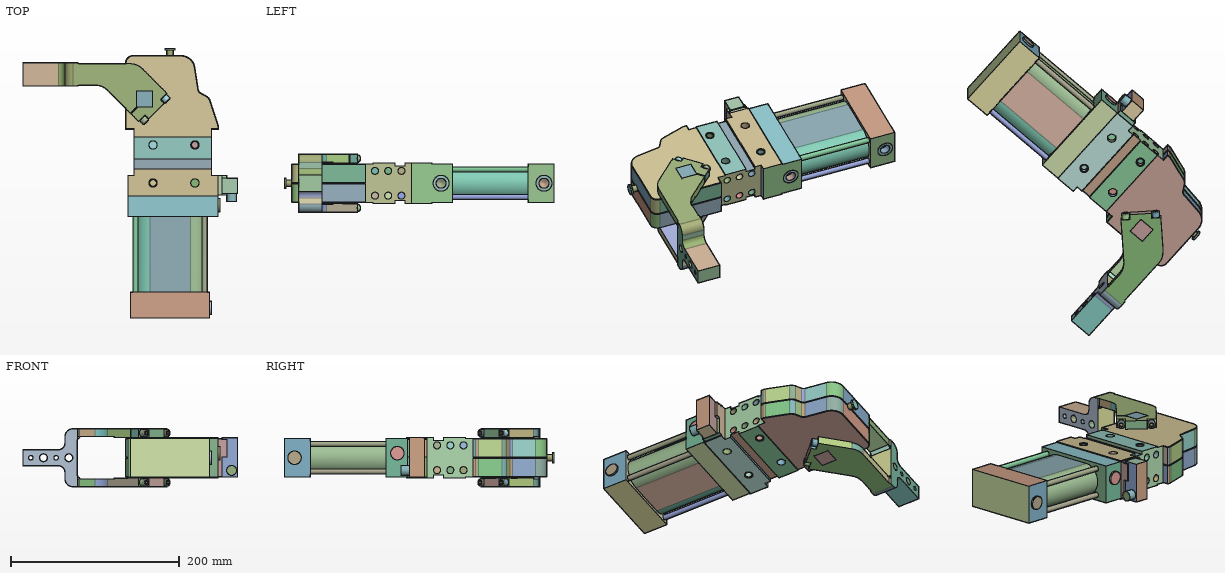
import cadquery as cq
import math


END_CAP_WIDTH = 94.0
CYLINDER_HEIGHT = 46.0
END_CAP_FRONT = 31.0
TUBE_FLAT_HALF = 24.0
TUBE_RADIUS = 19.0
TIE_ROD_DIAMETER = 6.5
TIE_ROD_X = 41.0
TIE_ROD_Z = 16.3

FLANGE_LEFT = -50.0
FLANGE_RIGHT = 57.0
FLANGE_REAR = 120.3
BLOCK_REAR = 145.0
FLANGE_FRONT = 169.3
NECK_LEFT = -43.0
NECK_RIGHT = 49.3
BLOCK_FRONT = 215.0
BLOCK_HEIGHT = 48.3
GROOVE_REAR = 177.0
GROOVE_FRONT = 188.5
GROOVE_FLOOR = 20.5

TOP_HOLE_DIAMETER = 10.0
TOP_HOLE_X = (-20.0, 29.5)
TOP_HOLE_Y = (160.3, 205.5)
DOWEL_DIAMETER = 8.0
SIDE_HOLE_DIAMETER = 8.3
SIDE_HOLE_PITCH = 15.7
SIDE_HOLE_MIDDLE_Y = 196.8
SIDE_HOLE_Z = 14.7
MOUNTING_HOLE_DEPTH = 9.5
DOWEL_MOUTH_DEPTH = 1.0

PORT_DIAMETER = 11.8
PORT_DEPTH = 9.5
DRILL_POINT_ANGLE = 118
SPOTFACE_DIAMETER = 19.0
SPOTFACE_DEPTH = 0.3
FLANGE_PORT_Y = 134.0
END_CAP_PORT_Y = 12.0
PLUG_DIAMETER = 16.0
PLUG_HEIGHT = 2.2
FLANGE_PLUG_Z = 5.5

HEAD_HEIGHT = 46.0
HEAD_LEFT = -52.8
HEAD_RIGHT = 57.3
HEAD_REAR = 224.0
HEAD_FRONT = 311.5
HEAD_TOP_RIGHT = (27.2, HEAD_FRONT)
HEAD_WAIST = (34.0, 268.5)
HEAD_SHOULDER = (46.5, 261.5)
HEAD_HIP = (HEAD_RIGHT, 228.5)
HEAD_LEFT_RADIUS = 8.5
HEAD_TOP_RADIUS = 16.3
HEAD_WAIST_RADIUS = 4.8
HEAD_SHOULDER_RADIUS = 9.5
HEAD_HIP_RADIUS = 9.5
HEAD_EDGE_CHAMFER = 0.5

BUTTON_TIP = 320.0
BUTTON_DIAMETER = 12.0
BUTTON_THICKNESS = 2.2
BUTTON_STEM_DIAMETER = 8.0
BUTTON_STEM_ROOT = 3.2

SENSOR_REAR = 146.0
SENSOR_PLATE_RIGHT = 61.8
SENSOR_PLATE_HEIGHT = 45.5
SENSOR_STEP_RIGHT = 67.2
SENSOR_STEP_Z = (0.5, 21.8)
PLUG_BLOCK_RIGHT = 80.0
PLUG_BLOCK_Y = (148.0, 166.0)
PLUG_BLOCK_Z = (-23.0, 24.0)
CABLE_DIAMETER = 11.8
CABLE_X = 73.0
CABLE_Z = -15.0
CABLE_END = 138.2

SHAFT_X = -30.5
SHAFT_Y = 259.8
SHAFT_SIDE = 19.2
ARM_HEIGHT = 69.0
ARM_LEFT = -174.5
PRONG_GAP = 50.0
PAD_GAP = 48.0
PAD_START = -27.2
YOKE_FRONT = 303.0
YOKE_REAR = 275.2
YOKE_LEFT = -124.8
YOKE_RIGHT = -109.8
YOKE_BEVEL = 2.0
YOKE_CORNER_RADIUS = 10.0
YOKE_CHAMFER = 3.5
TONGUE_HEIGHT = 19.2
TONGUE_RADIUS = 7.7
PRONG_FRONT = 301.8
PRONG_REAR = 276.0
PRONG_HALF_WIDTH = 23.7
PRONG_END = 20.0
PRONG_BEND_RADIUS = 20.8
CUTTER_REACH = 48.0
SLIT_WIDTH = 1.3
TONGUE_HOLE_PITCH = 15.0
TONGUE_FIRST_HOLE_X = -165.0
TONGUE_HOLE_DIAMETERS = (5.0, 9.0, 5.0, 9.0)

SCREW_DIAMETER = 9.0
SCREW_OFFSET = 18.0
SCREW_SEAT = 14.0
SCREW_NOTCH_START = 12.8
SCREW_END = 21.0
SCREW_EDGE_FILLET = 1.0
SCREW_SOCKET = 5.0
SCREW_SOCKET_DEPTH = 3.2


def box(x_range, y_range, z_range):
    """Box between the given limits."""
    size = [high - low for low, high in (x_range, y_range, z_range)]
    corner = (x_range[0], y_range[0], z_range[0])
    return cq.Workplane(cq.Solid.makeBox(*size, cq.Vector(*corner)))


def level_box(x_range, y_range, height):
    """Box centred on z = 0."""
    return box(x_range, y_range, (-height / 2, height / 2))


def rod(start, direction, diameter, length):
    """Cylinder that runs from a point along a direction."""
    return cq.Workplane(
        cq.Solid.makeCylinder(diameter / 2, length, cq.Vector(*start), cq.Vector(*direction))
    )


def make_cylinder():
    """End cap, tube with rounded sides and four tie rods."""
    length = FLANGE_REAR - END_CAP_FRONT
    body = level_box((-END_CAP_WIDTH / 2, END_CAP_WIDTH / 2), (0, END_CAP_FRONT), CYLINDER_HEIGHT)
    tube = level_box((-TUBE_FLAT_HALF, TUBE_FLAT_HALF), (END_CAP_FRONT, FLANGE_REAR), 2 * TUBE_RADIUS)
    for side in (-1, 1):
        start = (side * TUBE_FLAT_HALF, END_CAP_FRONT, 0)
        tube = tube.union(rod(start, (0, 1, 0), 2 * TUBE_RADIUS, length))
    body = body.union(tube.clean())
    for x in (-TIE_ROD_X, TIE_ROD_X):
        for z in (-TIE_ROD_Z, TIE_ROD_Z):
            body = body.union(rod((x, END_CAP_FRONT, z), (0, 1, 0), TIE_ROD_DIAMETER, length))
    return body


def make_mounting_block():
    """Cylinder flange and mounting block with a cross groove in its top and bottom."""
    flange = level_box((FLANGE_LEFT, FLANGE_RIGHT), (FLANGE_REAR, BLOCK_REAR), CYLINDER_HEIGHT)
    foot = level_box((FLANGE_LEFT, FLANGE_RIGHT), (BLOCK_REAR, FLANGE_FRONT), BLOCK_HEIGHT)
    neck = level_box((NECK_LEFT, NECK_RIGHT), (FLANGE_FRONT, BLOCK_FRONT), BLOCK_HEIGHT)
    block = flange.union(foot).union(neck)
    for z_range in ((GROOVE_FLOOR, BLOCK_HEIGHT), (-BLOCK_HEIGHT, -GROOVE_FLOOR)):
        block = block.cut(box((NECK_LEFT, NECK_RIGHT), (GROOVE_REAR, GROOVE_FRONT), z_range))
    return block


def mounting_hole(mouth, direction, diameter, bore_diameter):
    """Blind hole whose short mouth is wider than its bore when the diameters differ."""
    return rod(mouth, direction, diameter, DOWEL_MOUTH_DEPTH).union(
        rod(mouth, direction, bore_diameter, MOUNTING_HOLE_DEPTH)
    )


def cut_mounting_holes(body):
    """Four holes in the top and bottom faces and six in each side; some are dowel holes."""
    for side in (-1, 1):
        for column, x in enumerate(TOP_HOLE_X):
            for row, y in enumerate(TOP_HOLE_Y):
                bore = DOWEL_DIAMETER if column == row else TOP_HOLE_DIAMETER
                mouth = (x, y, side * BLOCK_HEIGHT / 2)
                body = body.cut(mounting_hole(mouth, (0, 0, -side), TOP_HOLE_DIAMETER, bore))
    for x, inward in ((NECK_LEFT, 1), (NECK_RIGHT, -1)):
        for step in (-1, 0, 1):
            for z in (-SIDE_HOLE_Z, SIDE_HOLE_Z):
                mouth = (x, SIDE_HOLE_MIDDLE_Y + step * SIDE_HOLE_PITCH, z)
                direction = (inward, 0, 0)
                body = body.cut(rod(mouth, direction, SIDE_HOLE_DIAMETER, MOUNTING_HOLE_DEPTH))
    return body


def port(x, y):
    """Spotfaced port, drilled toward +X with a conical bottom."""
    radius = PORT_DIAMETER / 2
    point_depth = radius / math.tan(math.radians(DRILL_POINT_ANGLE / 2))
    tip = cq.Solid.makeCone(
        radius, 0, point_depth, cq.Vector(x + PORT_DEPTH, y, 0), cq.Vector(1, 0, 0)
    )
    spotface = rod((x, y, 0), (1, 0, 0), SPOTFACE_DIAMETER, SPOTFACE_DEPTH)
    return spotface.union(rod((x, y, 0), (1, 0, 0), PORT_DIAMETER, PORT_DEPTH)).union(cq.Workplane(tip))


def add_ports_and_plugs(body):
    """A port on the left and a plug on the right of both the flange and the end cap."""
    body = body.cut(port(FLANGE_LEFT, FLANGE_PORT_Y)).cut(port(-END_CAP_WIDTH / 2, END_CAP_PORT_Y))
    flange_plug = (FLANGE_RIGHT, FLANGE_PORT_Y, FLANGE_PLUG_Z)
    end_cap_plug = (END_CAP_WIDTH / 2, END_CAP_PORT_Y, 0)
    for start in (flange_plug, end_cap_plug):
        body = body.union(rod(start, (1, 0, 0), PLUG_DIAMETER, PLUG_HEIGHT))
    return body


def make_head():
    """Clamp head of two chamfered halves that meet in a fine groove, on a plain neck."""
    outline = [
        (HEAD_LEFT, HEAD_REAR),
        (HEAD_LEFT, HEAD_FRONT),
        HEAD_TOP_RIGHT,
        HEAD_WAIST,
        HEAD_SHOULDER,
        HEAD_HIP,
        (HEAD_RIGHT, HEAD_REAR),
    ]
    rounded_corners = (
        ((HEAD_LEFT, HEAD_FRONT), HEAD_LEFT_RADIUS),
        (HEAD_TOP_RIGHT, HEAD_TOP_RADIUS),
        (HEAD_WAIST, HEAD_WAIST_RADIUS),
        (HEAD_SHOULDER, HEAD_SHOULDER_RADIUS),
        (HEAD_HIP, HEAD_HIP_RADIUS),
    )
    half = cq.Workplane("XY").polyline(outline).close().extrude(HEAD_HEIGHT / 2)
    for corner, radius in rounded_corners:
        middle = (*corner, HEAD_HEIGHT / 4)
        half = half.edges(cq.selectors.NearestToPointSelector(middle)).fillet(radius)
    half = half.faces("|Z").edges().chamfer(HEAD_EDGE_CHAMFER)
    neck = level_box((NECK_LEFT, NECK_RIGHT), (BLOCK_FRONT, HEAD_REAR + HEAD_EDGE_CHAMFER), HEAD_HEIGHT)
    return half.union(half.mirror("XY")).union(neck)


def make_button():
    """Release button on its stem, on the cylinder axis."""
    stem_start = HEAD_FRONT - BUTTON_STEM_ROOT
    head_start = BUTTON_TIP - BUTTON_THICKNESS
    stem = rod((0, stem_start, 0), (0, 1, 0), BUTTON_STEM_DIAMETER, head_start - stem_start)
    return stem.union(rod((0, head_start, 0), (0, 1, 0), BUTTON_DIAMETER, BUTTON_THICKNESS))


def make_sensor():
    """Sensor plate on the right of the mounting block, with an angled plug and its cable stub."""
    plate = level_box((FLANGE_RIGHT, SENSOR_PLATE_RIGHT), (SENSOR_REAR, FLANGE_FRONT), SENSOR_PLATE_HEIGHT)
    step = box((SENSOR_PLATE_RIGHT, SENSOR_STEP_RIGHT), (SENSOR_REAR, FLANGE_FRONT), SENSOR_STEP_Z)
    plug = box((SENSOR_PLATE_RIGHT, PLUG_BLOCK_RIGHT), PLUG_BLOCK_Y, PLUG_BLOCK_Z)
    cable_length = PLUG_BLOCK_Y[0] - CABLE_END
    cable = rod((CABLE_X, CABLE_END, CABLE_Z), (0, 1, 0), CABLE_DIAMETER, cable_length)
    return plate.union(step).union(plug).union(cable)


def make_shaft():
    """Square output shaft, flush with the outer faces of the arm."""
    section = cq.Workplane("XY").center(SHAFT_X, SHAFT_Y).rect(SHAFT_SIDE, SHAFT_SIDE)
    return section.extrude(ARM_HEIGHT / 2, both=True)


def make_clamp():
    """Complete clamp without the arm."""
    clamp = make_cylinder().union(make_mounting_block())
    clamp = add_ports_and_plugs(clamp)
    for piece in (make_head(), make_button(), make_sensor(), make_shaft()):
        clamp = clamp.union(piece)
    return cut_mounting_holes(clamp)


def along_prong(along, across):
    """Point at a distance from the shaft axis along the slanted prong and across it."""
    diagonal = math.sqrt(0.5)
    return (SHAFT_X + diagonal * (along + across), SHAFT_Y + diagonal * (across - along))


def slanted_box(along_range, across_range, z_range):
    """Box whose sides follow the slanted prong."""
    near, far = along_range
    left, right = across_range
    bottom, top = z_range
    corners = [
        along_prong(near, left),
        along_prong(far, left),
        along_prong(far, right),
        along_prong(near, right),
    ]
    base = cq.Workplane("XY").workplane(offset=bottom)
    return base.polyline(corners).close().extrude(top - bottom)


def bend_point(y, across):
    """Where a slanted prong edge crosses a straight one at the given y."""
    return (SHAFT_X + math.sqrt(2) * across - (y - SHAFT_Y), y)


def make_prongs():
    """Both prongs: a straight run from the yoke, then a 45 degree run past the shaft."""
    front_bend = bend_point(PRONG_FRONT, PRONG_HALF_WIDTH)
    rear_bend = bend_point(PRONG_REAR, -PRONG_HALF_WIDTH)
    outline = [
        (YOKE_RIGHT, YOKE_FRONT),
        (YOKE_RIGHT + YOKE_BEVEL, PRONG_FRONT),
        front_bend,
        along_prong(PRONG_END, PRONG_HALF_WIDTH),
        along_prong(PRONG_END, -PRONG_HALF_WIDTH),
        rear_bend,
        (YOKE_RIGHT + YOKE_BEVEL, PRONG_REAR),
        (YOKE_RIGHT, YOKE_REAR),
    ]
    solid = cq.Workplane("XY").polyline(outline).close().extrude(ARM_HEIGHT / 2, both=True)
    for bend in (front_bend, rear_bend):
        solid = solid.edges(cq.selectors.NearestToPointSelector((*bend, 0))).fillet(PRONG_BEND_RADIUS)
    across = (-CUTTER_REACH, CUTTER_REACH)
    wide_gap = level_box((YOKE_RIGHT, HEAD_RIGHT), (HEAD_REAR, HEAD_FRONT), PRONG_GAP)
    pad_zone = slanted_box((PAD_START, CUTTER_REACH), across, (-ARM_HEIGHT, ARM_HEIGHT))
    narrow_gap = level_box((YOKE_RIGHT, HEAD_RIGHT), (HEAD_REAR, HEAD_FRONT), PAD_GAP)
    return solid.cut(wide_gap.cut(pad_zone)).cut(narrow_gap)


def make_yoke():
    """Cross piece that joins the prongs, with the drilled tongue on its left."""
    top = ARM_HEIGHT / 2
    tongue = TONGUE_HEIGHT / 2
    blend = TONGUE_RADIUS
    corner = YOKE_CORNER_RADIUS
    depth = YOKE_FRONT - YOKE_REAR
    half = (
        cq.Workplane("XZ", origin=(0, YOKE_FRONT, 0))
        .moveTo(ARM_LEFT, 0)
        .lineTo(ARM_LEFT, tongue)
        .lineTo(YOKE_LEFT - blend, tongue)
        .radiusArc((YOKE_LEFT, tongue + blend), -blend)
        .lineTo(YOKE_LEFT, top - corner)
        .radiusArc((YOKE_LEFT + corner, top), corner)
        .lineTo(YOKE_RIGHT, top)
        .lineTo(YOKE_RIGHT, 0)
        .close()
        .extrude(depth)
    )
    yoke = half.union(half.mirror("XY"))
    for index, diameter in enumerate(TONGUE_HOLE_DIAMETERS):
        x = TONGUE_FIRST_HOLE_X + index * TONGUE_HOLE_PITCH
        yoke = yoke.cut(rod((x, YOKE_REAR, 0), (0, 1, 0), diameter, depth))
    return yoke


def inner_corners():
    """Triangular fillers that chamfer the two inner corners between yoke and prongs."""
    inner = PRONG_GAP / 2
    triangle = [
        (YOKE_RIGHT, inner),
        (YOKE_RIGHT + YOKE_CHAMFER, inner),
        (YOKE_RIGHT, inner - YOKE_CHAMFER),
    ]
    wedge = (
        cq.Workplane("XZ", origin=(0, PRONG_FRONT, 0))
        .polyline(triangle)
        .close()
        .extrude(PRONG_FRONT - PRONG_REAR)
    )
    return wedge.union(wedge.mirror("XY"))


def make_screw(side, level):
    """Cap screw head with a hexagon socket, pointing out of the prong end."""
    x, y = along_prong(SCREW_SEAT, side * SCREW_OFFSET)
    plane = cq.Plane(origin=(x, y, level), xDir=(0, 0, 1), normal=(1, -1, 0))
    head = cq.Workplane(plane).circle(SCREW_DIAMETER / 2).extrude(SCREW_END - SCREW_SEAT)
    outer = cq.Workplane(plane).workplane(offset=SCREW_END - SCREW_SEAT)
    head = head.edges(cq.selectors.NearestToPointSelector(outer.plane.origin.toTuple()))
    head = head.fillet(SCREW_EDGE_FILLET)
    return head.cut(outer.polygon(6, SCREW_SOCKET).extrude(-SCREW_SOCKET_DEPTH))


def add_screws(arm):
    """Open notches at the prong corners, each filled by a screw head."""
    level = (ARM_HEIGHT + PAD_GAP) / 4
    for side in (-1, 1):
        across = sorted((side * SCREW_NOTCH_START, side * CUTTER_REACH))
        arm = arm.cut(slanted_box((SCREW_SEAT, CUTTER_REACH), across, (-ARM_HEIGHT, ARM_HEIGHT)))
    for side in (-1, 1):
        for z in (-level, level):
            arm = arm.union(make_screw(side, z))
    return arm


def make_arm():
    """Forked clamping arm with the shaft seat and the clamping slit in its upper prong."""
    arm = make_prongs().union(make_yoke()).union(inner_corners())
    arm = add_screws(arm)
    slit = slanted_box((0, SLIT_WIDTH), (-CUTTER_REACH, 0), (0, ARM_HEIGHT))
    return arm.cut(slit).cut(make_shaft())


clamp = make_clamp()
arm = make_arm()

result = cq.Compound.makeCompound([clamp.val(), arm.val()])